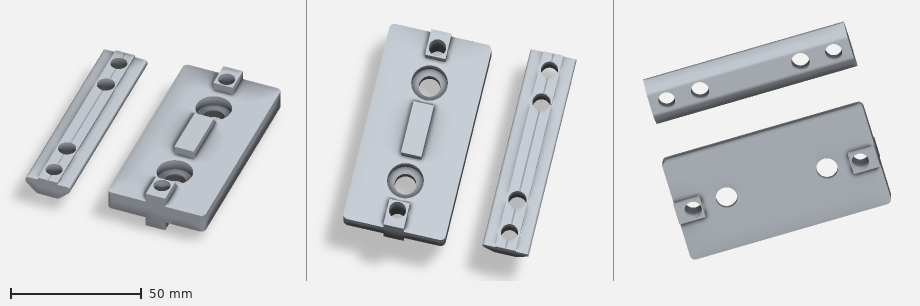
import cadquery as cq

body_length = 80.0
body_thickness = 8.0
screw_spacing = 40.0
end_hole_spacing = 66.5

plate_width = 40.0
plate_corner_radius = 2.0
key_width = 8.0
key_height = 3.99
end_key_length = 10.45
middle_key_length = 21.0
plate_end_hole_diameter = 6.6
plate_screw_hole_diameter = 8.2
counterbore_diameter = 14
counterbore_depth = 4.5

overall_width = 72.4
rail_width = 18.0
rail_shift_y = -2.4
ridge_width = 8.0
ridge_height = 1.0
flank_start_depth = 3.45
rail_edge_radius = 1.0
rail_bottom_radius = 2.0
rail_end_hole_diameter = 6.5
rail_screw_hole_diameter = 7.0
groove_width = 0.65
groove_depth = 0.3

top_z = body_thickness / 2
bottom_z = -top_z
rail_center_x = plate_width / 2 - overall_width + rail_width / 2


def hole_pair(diameter, spacing, height):
    """Two upright cylinders, mirrored about the X axis and centred on Z = 0."""
    centers = [(0, -spacing / 2), (0, spacing / 2)]
    return (
        cq.Workplane("XY", origin=(0, 0, -height / 2))
        .pushPoints(centers)
        .circle(diameter / 2)
        .extrude(height)
    )


def key(length, height, center_y):
    """A raised key block, centred on Z = 0 before any offset."""
    return cq.Workplane("XY").box(key_width, length, height).translate((0, center_y, 0))


def make_plate():
    plate = cq.Workplane("XY").box(plate_width, body_length, body_thickness)
    plate = plate.edges("|Z").fillet(plate_corner_radius)

    full_height = body_thickness + 2 * key_height
    for side in (-1, 1):
        end_key_y = side * (body_length - end_key_length) / 2
        plate = plate.union(key(end_key_length, full_height, end_key_y))
    middle_key_z = top_z + key_height / 2
    plate = plate.union(key(middle_key_length, key_height, 0).translate((0, 0, middle_key_z)))

    plate = plate.cut(hole_pair(plate_end_hole_diameter, end_hole_spacing, full_height))
    plate = plate.cut(hole_pair(plate_screw_hole_diameter, screw_spacing, body_thickness))
    counterbore_z = top_z - counterbore_depth / 2
    counterbores = hole_pair(counterbore_diameter, screw_spacing, counterbore_depth)
    return plate.cut(counterbores.translate((0, 0, counterbore_z)))


def make_rail():
    half_width = rail_width / 2
    shoulder_z = top_z - ridge_height
    flank_z = top_z - flank_start_depth
    half_bottom = half_width - (flank_z - bottom_z)
    section = [
        (-half_bottom, bottom_z),
        (half_bottom, bottom_z),
        (half_width, flank_z),
        (half_width, shoulder_z),
        (-half_width, shoulder_z),
        (-half_width, flank_z),
    ]
    rail = cq.Workplane("XZ").polyline(section).close().extrude(body_length / 2, both=True)
    rail = rail.edges("|Y and <Z").fillet(rail_bottom_radius)
    rail = rail.edges("|Y and (<X or >X)").fillet(rail_edge_radius)

    ridge = cq.Workplane("XY").box(ridge_width, body_length, ridge_height)
    rail = rail.union(ridge.translate((0, 0, top_z - ridge_height / 2)))

    groove_section = [(-groove_width / 2, top_z), (groove_width / 2, top_z), (0, top_z - groove_depth)]
    groove = cq.Workplane("XZ").polyline(groove_section).close().extrude(body_length / 2, both=True)
    rail = rail.cut(groove)

    rail = rail.cut(hole_pair(rail_end_hole_diameter, end_hole_spacing, body_thickness))
    rail = rail.cut(hole_pair(rail_screw_hole_diameter, screw_spacing, body_thickness))
    return rail.translate((rail_center_x, rail_shift_y, 0))


plate = make_plate()
rail = make_rail()

result = cq.Compound.makeCompound([plate.val(), rail.val()])